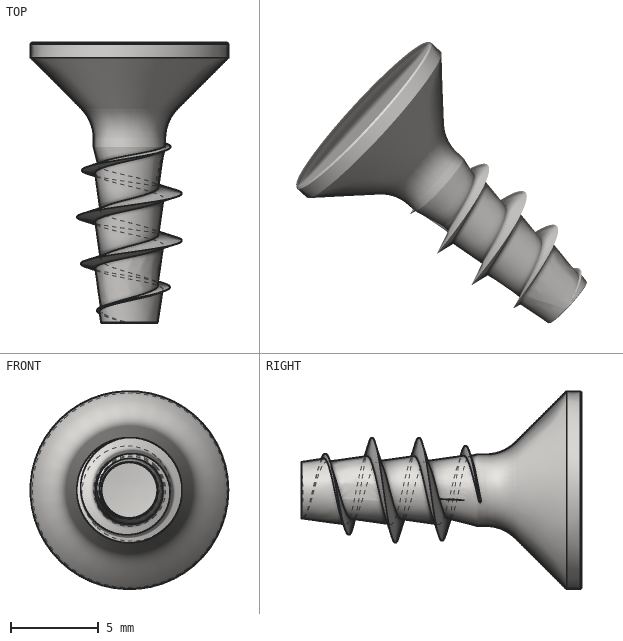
import math

import cadquery as cq


length = 16.0

head_radius = 11.3 / 2
head_edge_chamfer = 0.1
rim_end_depth = 0.87
cone_half_angle = math.radians(45)

neck_radius = 2.05
neck_end_depth = 5.96
neck_fillet_radius = 2.4

core_radius = 1.62
runout_slope = 0.25

tip_chamfer = 0.04
tip_slope = 0.155
dish_radius = 1.5
dish_depth = 0.1

pitch = 2.68
zero_turn_depth = 5.94
start_turn = -0.05
full_height_turn = 0.9
taper_turn = 2.25
end_turn = 3.72
start_crest_radius = 2.31
full_crest_radius = 3.0
end_crest_radius = 1.65
flank_slope = math.tan(math.radians(15))
thread_root_radius = 1.4

swell_radius = 1.985
swell_start_offset = 0.02
swell_end_offset = 2.65
swell_end_sink = 0.005
swell_inner_radius = 1.3

points_per_turn = 12


def revolve_about_y(profile):
    return profile.close().revolve(360, (0, 0, 0), (0, 1, 0))


def make_turned_body():
    """Head, neck and plain core."""
    cone_end_radius = neck_radius + neck_fillet_radius * (1 - math.cos(cone_half_angle))
    cone_end_depth = rim_end_depth + (head_radius - cone_end_radius) / math.tan(cone_half_angle)
    fillet_end_depth = cone_end_depth + neck_fillet_radius * math.sin(cone_half_angle)
    half_arc = cone_half_angle / 2
    fillet_mid_radius = neck_radius + neck_fillet_radius * (1 - math.cos(half_arc))
    fillet_mid_depth = fillet_end_depth - neck_fillet_radius * math.sin(half_arc)
    runout_end_depth = neck_end_depth + (neck_radius - core_radius) / runout_slope
    profile = (
        cq.Workplane("XY")
        .lineTo(head_radius - head_edge_chamfer, 0)
        .lineTo(head_radius, -head_edge_chamfer)
        .lineTo(head_radius, -rim_end_depth)
        .lineTo(cone_end_radius, -cone_end_depth)
        .threePointArc((fillet_mid_radius, -fillet_mid_depth), (neck_radius, -fillet_end_depth))
        .lineTo(neck_radius, -neck_end_depth)
        .lineTo(core_radius, -runout_end_depth)
        .lineTo(core_radius, -(length - tip_chamfer))
        .lineTo(core_radius - tip_chamfer, -length)
        .lineTo(0, -length)
    )
    return revolve_about_y(profile)


def make_tip_envelope():
    """Cylinder narrowing to the tip, which bounds the swell."""
    chamfer_depth = length - tip_chamfer
    cone_start_depth = chamfer_depth - (swell_radius - core_radius) / tip_slope
    profile = (
        cq.Workplane("XY")
        .lineTo(swell_radius, 0)
        .lineTo(swell_radius, -cone_start_depth)
        .lineTo(core_radius, -chamfer_depth)
        .lineTo(core_radius - tip_chamfer, -length)
        .lineTo(0, -length)
    )
    return revolve_about_y(profile)


def helix_point(radius, turn, offset):
    """Point of the helix that runs the given offset below the thread crest."""
    angle = 2 * math.pi * turn
    depth = zero_turn_depth + pitch * turn + offset
    return cq.Vector(radius * math.cos(angle), -depth, radius * math.sin(angle))


def helical_body(section, first_turn, last_turn):
    """Solid swept along the helix; section(turn) gives its (radius, offset) corners."""
    span = last_turn - first_turn
    steps = math.ceil(span * points_per_turn)
    turns = [first_turn + span * step / steps for step in range(steps + 1)]
    rings = [[helix_point(radius, turn, offset) for radius, offset in section(turn)] for turn in turns]
    edges = [cq.Edge.makeSpline(list(path)) for path in zip(*rings)]
    faces = [cq.Face.makeRuledSurface(edges[i - 1], edges[i]) for i in range(len(edges))]
    for ring in (rings[0], rings[-1]):
        faces.append(cq.Face.makeFromWires(cq.Wire.makePolygon(ring, close=True)))
    solid = cq.Solid.makeSolid(cq.Shell.makeShell(faces))
    return cq.Workplane(solid.fix())


def helical_runs(section, breaks):
    """Helical bodies that follow each other between the given turns."""
    return [helical_body(section, first, last) for first, last in zip(breaks, breaks[1:])]


def crest_radius(turn):
    if turn < full_height_turn:
        rise = (turn - start_turn) / (full_height_turn - start_turn)
        return start_crest_radius + rise * (full_crest_radius - start_crest_radius)
    if turn > taper_turn:
        fall = (turn - taper_turn) / (end_turn - taper_turn)
        return full_crest_radius + fall * (end_crest_radius - full_crest_radius)
    return full_crest_radius


def thread_section(turn):
    crest = crest_radius(turn)
    half_width = (crest - thread_root_radius) * flank_slope
    return [(thread_root_radius, -half_width), (crest, 0), (thread_root_radius, half_width)]


def swell_section(turn):
    """Wedge section, the same at every turn."""
    return [
        (swell_inner_radius, swell_start_offset),
        (swell_radius, swell_start_offset),
        (core_radius - swell_end_sink, swell_end_offset),
        (swell_inner_radius, swell_end_offset),
    ]


def make_dish_cutter():
    """Sphere that leaves a dish of the given radius and depth in the end face."""
    sphere_radius = (dish_radius**2 + dish_depth**2) / (2 * dish_depth)
    center_depth = length - dish_depth + sphere_radius
    return cq.Workplane("XY").sphere(sphere_radius).translate((0, -center_depth, 0))


swell_breaks = [start_turn, start_turn + 1, start_turn + 2, start_turn + 3, end_turn]
thread_breaks = [start_turn, full_height_turn, taper_turn, end_turn]

result = make_turned_body()
tip_envelope = make_tip_envelope()
for run in helical_runs(swell_section, swell_breaks):
    result = result.union(run.intersect(tip_envelope), clean=False)
for run in helical_runs(thread_section, thread_breaks):
    result = result.union(run, clean=False)
result = cq.Workplane(result.cut(make_dish_cutter()).solids().val())